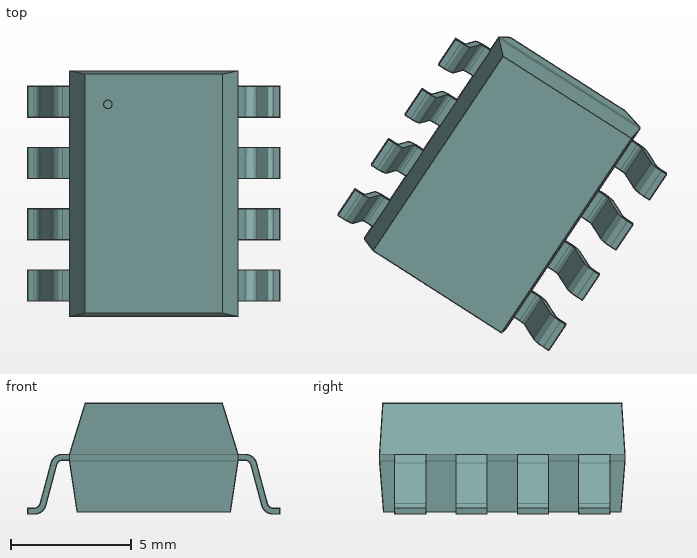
import cadquery as cq
import math

TIP_SPAN = 10.46
TOTAL_HEIGHT = 4.6

WAIST_X = 7.0
WAIST_Y = 10.19
TOP_X = 5.69
TOP_Y = 9.92
BOTTOM_X = 6.36
BOTTOM_Y = 9.85
STANDOFF = 0.08
BAND_HEIGHT = 0.28
TAPER_HEIGHT = (TOTAL_HEIGHT - STANDOFF - BAND_HEIGHT) / 2
BAND_BOTTOM = STANDOFF + TAPER_HEIGHT
BAND_TOP = BAND_BOTTOM + BAND_HEIGHT

LEADS_PER_SIDE = 4
LEAD_PITCH = 2.54
LEAD_WIDTH = 1.3
LEAD_THICKNESS = 0.25
INNER_RADIUS = 0.25
OUTER_RADIUS = INNER_RADIUS + LEAD_THICKNESS
BEND_ANGLE = 75.0
SHOULDER_LENGTH = 0.28

MARK_DIAMETER = 0.36
MARK_DEPTH = 0.1
MARK_X = -1.9
MARK_Y = 3.7


def frustum(base_z, base_size, end_z, end_size):
    """Solid that tapers between two rectangles centred on the Z axis."""
    return (
        cq.Workplane("XY", origin=(0, 0, base_z))
        .rect(*base_size)
        .workplane(offset=end_z - base_z)
        .rect(*end_size)
        .loft(ruled=True)
    )


def make_mark():
    """Disc that fills the recess in the top of the housing."""
    return (
        cq.Workplane("XY", origin=(MARK_X, MARK_Y, TOTAL_HEIGHT - MARK_DEPTH))
        .circle(MARK_DIAMETER / 2)
        .extrude(MARK_DEPTH)
    )


def make_housing(mark):
    """Moulded housing with a recess shaped like the mark."""
    waist = (WAIST_X, WAIST_Y)
    lower = frustum(BAND_BOTTOM, waist, STANDOFF, (BOTTOM_X, BOTTOM_Y))
    upper = frustum(BAND_TOP, waist, TOTAL_HEIGHT, (TOP_X, TOP_Y))
    band = cq.Workplane("XY", origin=(0, 0, BAND_BOTTOM)).rect(*waist).extrude(BAND_HEIGHT)
    return band.union(lower).union(upper).cut(mark)


def point_on_bend(center, radius, degrees):
    """Point at an angle on a circle in the XZ plane."""
    angle = math.radians(degrees)
    return (center[0] + radius * math.cos(angle), center[1] + radius * math.sin(angle))


def make_left_lead(y):
    """Lead on the -X side, centred on y, with its shoulder end against the waist band."""
    wall_x = -WAIST_X / 2
    tip_x = -TIP_SPAN / 2

    center_rise = BAND_TOP - 2 * OUTER_RADIUS
    slope = math.radians(BEND_ANGLE)
    center_run = (INNER_RADIUS + OUTER_RADIUS + center_rise * math.cos(slope)) / math.sin(slope)
    shoulder_center = (wall_x - SHOULDER_LENGTH, BAND_TOP - OUTER_RADIUS)
    foot_center = (shoulder_center[0] - center_run, OUTER_RADIUS)

    def shoulder_point(radius, turn):
        return point_on_bend(shoulder_center, radius, 90 + turn)

    def foot_point(radius, turn):
        return point_on_bend(foot_center, radius, -90 + turn)

    half_bend = BEND_ANGLE / 2
    return (
        cq.Workplane("XZ", origin=(0, y + LEAD_WIDTH / 2, 0))
        .moveTo(wall_x, BAND_TOP)
        .lineTo(*shoulder_point(OUTER_RADIUS, 0))
        .threePointArc(shoulder_point(OUTER_RADIUS, half_bend), shoulder_point(OUTER_RADIUS, BEND_ANGLE))
        .lineTo(*foot_point(INNER_RADIUS, BEND_ANGLE))
        .threePointArc(foot_point(INNER_RADIUS, half_bend), foot_point(INNER_RADIUS, 0))
        .lineTo(tip_x, LEAD_THICKNESS)
        .lineTo(tip_x, 0)
        .lineTo(*foot_point(OUTER_RADIUS, 0))
        .threePointArc(foot_point(OUTER_RADIUS, half_bend), foot_point(OUTER_RADIUS, BEND_ANGLE))
        .lineTo(*shoulder_point(INNER_RADIUS, BEND_ANGLE))
        .threePointArc(shoulder_point(INNER_RADIUS, half_bend), shoulder_point(INNER_RADIUS, 0))
        .lineTo(wall_x, BAND_TOP - LEAD_THICKNESS)
        .close()
        .extrude(LEAD_WIDTH)
    )


mark = make_mark()
housing = make_housing(mark)

leads = []
for index in range(LEADS_PER_SIDE):
    lead_y = (index - (LEADS_PER_SIDE - 1) / 2) * LEAD_PITCH
    left_lead = make_left_lead(lead_y)
    right_lead = left_lead.mirror("YZ")
    leads.append(left_lead.val())
    leads.append(right_lead.val())

result = cq.Compound.makeCompound([housing.val(), mark.val(), *leads])